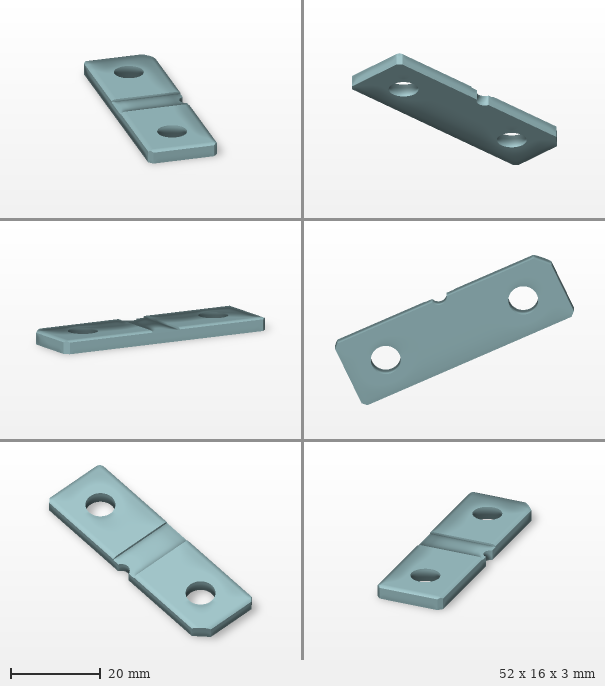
import cadquery as cq
import math

length = 52.0
width = 16.0
thickness = 3.0

small_corner = 1.0
large_corner = 3.0

rolloff_width = 1.15
rolloff_height = 0.35

hole_diameter = 6.65
hole_spacing = 33.7

waist_length = 7.0
waist_depth = 0.6
notch_radius = 1.85
notch_depth = 1.25

half_length = length / 2
half_width = width / 2
rolloff_radius = (rolloff_width**2 + rolloff_height**2) / (2 * rolloff_height)
rolloff_angle = math.asin(rolloff_width / rolloff_radius)


def crowned_bar(span, bar_width):
    """Bar along X whose two long top edges roll off in shallow arcs tangent to the top."""
    half = bar_width / 2
    flat_half = half - rolloff_width
    shoulder = thickness - rolloff_height
    mid_y = flat_half + rolloff_radius * math.sin(rolloff_angle / 2)
    mid_z = thickness - rolloff_radius * (1 - math.cos(rolloff_angle / 2))
    return (
        cq.Workplane("YZ")
        .moveTo(-half, 0)
        .lineTo(half, 0)
        .lineTo(half, shoulder)
        .threePointArc((mid_y, mid_z), (flat_half, thickness))
        .lineTo(-flat_half, thickness)
        .threePointArc((-mid_y, mid_z), (-half, shoulder))
        .close()
        .extrude(span / 2, both=True)
    )


outline = [
    (-half_length + small_corner, -half_width),
    (half_length - small_corner, -half_width),
    (half_length, -half_width + small_corner),
    (half_length, half_width - small_corner),
    (half_length - small_corner, half_width),
    (-half_length + large_corner, half_width),
    (-half_length, half_width - large_corner),
    (-half_length, -half_width + small_corner),
]
plate = cq.Workplane("XY").polyline(outline).close().extrude(thickness)

side_crown = crowned_bar(length, width)
end_crown = crowned_bar(width, length).rotate((0, 0, 0), (0, 0, 1), 90)
plate = plate.intersect(side_crown).intersect(end_crown)

waist = (
    cq.Workplane("XY")
    .workplane(offset=thickness - waist_depth)
    .rect(waist_length, width)
    .extrude(waist_depth)
)

notch = (
    cq.Workplane("XY")
    .center(0, half_width - notch_depth + notch_radius)
    .circle(notch_radius)
    .extrude(thickness)
)

holes = (
    cq.Workplane("XY")
    .pushPoints([(-hole_spacing / 2, 0), (hole_spacing / 2, 0)])
    .circle(hole_diameter / 2)
    .extrude(thickness)
)

result = plate.cut(waist).cut(notch).cut(holes)